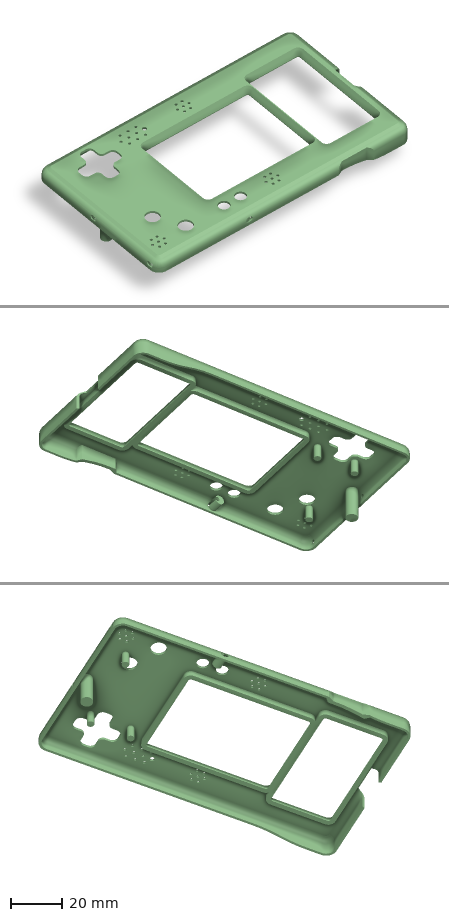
import cadquery as cq
import math

LENGTH = 129.0
WIDTH = 74.0
CORNER_RADIUS = 4.5
WALL = 1.0
PLATE = 1.0
RIM_Z = -6.2
BACK_RIM_Z = -9.0
CAVITY_EDGE_RADIUS = 2.2

ARC_START_Z = -3.6
BEVEL_INSET = 2.2
BEVEL_WIDTH = 1.3
BEVEL_DROP = 0.8

STEP_FRONT_Y = 30.2
STEP_BACK_Y = 53.4

WINDOWS = [(51.5, 28.9, 44.5), (42.5, 56.0, 1.7)]
WINDOW_RADIUS = 2.6
WINDOW_INSET = 1.5
WINDOW_TAPER_DEPTH = 3.2
WINDOW_LIP = 0.4
COLLAR_WALL = 0.5

PAD_X = -22.6
PAD_Y = -44.6
PAD_SPAN = 19.4
PAD_ARM = 6.5
PAD_TIP_RADIUS = 2.3
PAD_INNER_RADIUS = 2.0
ACTION_DIAMETER = 6.5
ACTION_CENTRES = [(26.6, -41.5), (14.5, -48.4)]
MENU_DIAMETER = 5.0
MENU_CENTRES = [(27.1, -14.2), (27.1, -22.6)]

SOUND_DIAMETER = 1.2
SOUND_RING_RADIUS = 3.0
SOUND_RING_COUNT = 6
SOUND_CENTRES = [(-27.3, 1.7), (27.1, 1.7), (27.1, -55.9)]
GRILLE_X = -27.0
GRILLE_Y = -24.3
GRILLE_PITCH_X = 3.0
GRILLE_PITCH_Y = 4.0
LIGHT_DIAMETER = 2.0
LIGHT_CENTRE = (-27.0, -18.3)

BACK_NOTCH_WIDE = 15.0
BACK_NOTCH_NARROW = 11.9
BACK_NOTCH_DEPTH = 3.6
SIDE_NOTCH_Y = 36.2
SIDE_NOTCH_WIDE = 17.8
SIDE_NOTCH_NARROW = 12.6
SIDE_NOTCH_DEPTH = 1.3
SIDE_BACKING = 1.5

WALL_HOLE_Z = -3.5
RECESS_DIAMETER = 2.2
RECESS_DEPTH = 0.5
WALL_HOLE_DIAMETER = 1.9
WALL_HOLE_SHIFT = 1.2
FRONT_HOLES_X = [-3.0, 31.7]
SIDE_HOLE_Y = -18.3
SIDE_BOSS_DIAMETER = 4.0
SIDE_BOSS_REACH = 6.2

POST_DIAMETER = 5.0
POST_Y = -59.9
POST_BOTTOM_Z = -14.5
POST_EMBED = 0.1
PIN_DIAMETER = 3.0
PIN_BOTTOM_Z = -7.0
PIN_CENTRES = [(-16.0, -33.0), (-16.0, -50.5), (18.2, -51.9)]


def rounded_slab(length_x, length_y, radius, z_top, depth, taper=0.0, centre_y=0.0):
    """Rounded rectangle extruded downward from z_top, shrinking with depth by the taper angle."""
    outline = cq.Sketch().rect(length_x, length_y).vertices().fillet(radius)
    slab = cq.Workplane("XY").placeSketch(outline).extrude(depth, taper=taper)
    return slab.mirror("XY").translate((0, centre_y, z_top))


def trapezoid(wide, narrow, depth):
    """Full-height cutter with its wide end on the X axis, narrowing toward -Y."""
    points = [(-wide / 2, 0), (wide / 2, 0), (narrow / 2, -depth), (-narrow / 2, -depth)]
    return cq.Workplane("XY").polyline(points).close().extrude(BACK_RIM_Z)


def vertical_rods(centres, diameter, z_bottom, z_top=0.0):
    """Round rods, used as posts or as hole cutters."""
    plane = cq.Workplane("XY").workplane(offset=z_bottom)
    return plane.pushPoints(centres).circle(diameter / 2).extrude(z_top - z_bottom)


def outer_body():
    arc_rise = -ARC_START_Z - BEVEL_DROP
    arc_radius = (BEVEL_INSET**2 + arc_rise**2) / (2 * BEVEL_INSET)
    arc_top = ARC_START_Z + arc_radius
    body = rounded_slab(WIDTH, LENGTH, CORNER_RADIUS, arc_top, arc_top - BACK_RIM_Z)
    body = body.faces(">Z").edges().fillet(arc_radius)
    bevel_angle = math.degrees(math.atan2(BEVEL_WIDTH, BEVEL_DROP))
    bevel_outline = cq.Sketch().rect(WIDTH - 2 * BEVEL_INSET, LENGTH - 2 * BEVEL_INSET)
    bevel_outline = bevel_outline.vertices().fillet(CORNER_RADIUS - BEVEL_INSET)
    bevel_base = cq.Workplane("XY").workplane(offset=-BEVEL_DROP).placeSketch(bevel_outline)
    return body.union(bevel_base.extrude(BEVEL_DROP, taper=bevel_angle))


def cavity():
    inner_radius = CORNER_RADIUS - WALL
    space = rounded_slab(WIDTH - 2 * WALL, LENGTH - 2 * WALL, inner_radius, -PLATE, -BACK_RIM_Z - PLATE)
    return space.faces(">Z").edges().fillet(CAVITY_EDGE_RADIUS)


def rim_cutter():
    """Everything below the rim line, including the S-curve made of two equal arcs."""
    run = (STEP_BACK_Y - STEP_FRONT_Y) / 2
    drop = (RIM_Z - BACK_RIM_Z) / 2
    radius = (run**2 + drop**2) / (2 * drop)
    half_angle = math.atan2(drop, run)
    arc_dy = radius * math.sin(half_angle)
    arc_dz = radius * (1 - math.cos(half_angle))
    middle = (STEP_FRONT_Y + run, RIM_Z - drop)
    return (
        cq.Workplane("YZ")
        .moveTo(-LENGTH, RIM_Z)
        .lineTo(STEP_FRONT_Y, RIM_Z)
        .threePointArc((STEP_FRONT_Y + arc_dy, RIM_Z - arc_dz), middle)
        .threePointArc((STEP_BACK_Y - arc_dy, BACK_RIM_Z + arc_dz), (STEP_BACK_Y, BACK_RIM_Z))
        .lineTo(-LENGTH, BACK_RIM_Z)
        .close()
        .extrude(WIDTH, both=True)
    )


def window_collar(length_x, length_y, centre_y):
    grow = 2 * COLLAR_WALL
    depth = WINDOW_TAPER_DEPTH + WINDOW_LIP - PLATE
    radius = WINDOW_RADIUS + COLLAR_WALL
    return rounded_slab(length_x + grow, length_y + grow, radius, -PLATE, depth, centre_y=centre_y)


def window_opening(length_x, length_y, centre_y):
    angle = math.degrees(math.atan2(WINDOW_INSET, WINDOW_TAPER_DEPTH))
    shrink = 2 * WINDOW_INSET
    radius = WINDOW_RADIUS - WINDOW_INSET
    funnel = rounded_slab(length_x, length_y, WINDOW_RADIUS, 0, WINDOW_TAPER_DEPTH, angle, centre_y)
    throat = rounded_slab(length_x - shrink, length_y - shrink, radius, 0, -RIM_Z, centre_y=centre_y)
    return funnel.union(throat)


def direction_pad():
    bar = cq.Workplane("XY").rect(PAD_SPAN, PAD_ARM).extrude(-PLATE)
    cross = bar.union(cq.Workplane("XY").rect(PAD_ARM, PAD_SPAN).extrude(-PLATE))
    near_middle = cq.selectors.BoxSelector((-PAD_ARM, -PAD_ARM, -PLATE), (PAD_ARM, PAD_ARM, PLATE))
    cross = cross.edges("|Z").edges(near_middle).fillet(PAD_INNER_RADIUS)
    for tip in (">X", "<X", ">Y", "<Y"):
        cross = cross.faces(tip).edges("|Z").fillet(PAD_TIP_RADIUS)
    return cross.translate((PAD_X, PAD_Y, 0))


def sound_points():
    points = []
    for x, y in SOUND_CENTRES:
        points.append((x, y))
        for step in range(SOUND_RING_COUNT):
            angle = 2 * math.pi * (step + 0.5) / SOUND_RING_COUNT
            dx = SOUND_RING_RADIUS * math.cos(angle)
            dy = SOUND_RING_RADIUS * math.sin(angle)
            points.append((x + dx, y + dy))
    for column in (-1, 0, 1):
        shift = -GRILLE_PITCH_Y / 2 if column == 0 else 0
        for row in (-1, 0, 1):
            points.append((GRILLE_X + column * GRILLE_PITCH_X, GRILLE_Y + row * GRILLE_PITCH_Y + shift))
    return points


def wall_hole(reach):
    """Shallow recess with an offset through hole, entering along +Y from the origin."""
    recess = cq.Workplane("XZ").circle(RECESS_DIAMETER / 2).extrude(-RECESS_DEPTH)
    through = cq.Workplane("XZ").center(WALL_HOLE_SHIFT, 0).circle(WALL_HOLE_DIAMETER / 2).extrude(-reach)
    return recess.union(through)


outer = outer_body()
shell = outer.cut(cavity())

for window in WINDOWS:
    shell = shell.union(window_collar(*window))
side_backing = trapezoid(
    SIDE_NOTCH_WIDE + 2 * SIDE_BACKING,
    SIDE_NOTCH_NARROW + 2 * SIDE_BACKING,
    SIDE_NOTCH_DEPTH + SIDE_BACKING,
)
to_side_notch = (WIDTH / 2, SIDE_NOTCH_Y, 0)
side_backing = side_backing.rotate((0, 0, 0), (0, 0, 1), -90).translate(to_side_notch)
shell = shell.union(side_backing.intersect(outer))
side_boss = cq.Workplane("YZ").circle(SIDE_BOSS_DIAMETER / 2).extrude(-SIDE_BOSS_REACH)
side_boss = side_boss.translate((WIDTH / 2, SIDE_HOLE_Y, WALL_HOLE_Z))
shell = shell.union(side_boss.intersect(outer))

shell = shell.cut(rim_cutter())
back_notch = trapezoid(BACK_NOTCH_WIDE, BACK_NOTCH_NARROW, BACK_NOTCH_DEPTH)
shell = shell.cut(back_notch.translate((0, LENGTH / 2, 0)))
side_notch = trapezoid(SIDE_NOTCH_WIDE, SIDE_NOTCH_NARROW, SIDE_NOTCH_DEPTH)
shell = shell.cut(side_notch.rotate((0, 0, 0), (0, 0, 1), -90).translate(to_side_notch))

for window in WINDOWS:
    shell = shell.cut(window_opening(*window))
shell = shell.cut(direction_pad())
shell = shell.cut(vertical_rods(ACTION_CENTRES, ACTION_DIAMETER, -PLATE))
shell = shell.cut(vertical_rods(MENU_CENTRES, MENU_DIAMETER, -PLATE))
shell = shell.cut(vertical_rods([LIGHT_CENTRE], LIGHT_DIAMETER, -PLATE))
shell = shell.cut(vertical_rods(sound_points(), SOUND_DIAMETER, -PLATE))

for x in FRONT_HOLES_X:
    shell = shell.cut(wall_hole(2 * WALL).translate((x, -LENGTH / 2, WALL_HOLE_Z)))
side_hole = wall_hole(SIDE_BOSS_REACH).rotate((0, 0, 0), (0, 0, 1), 90)
shell = shell.cut(side_hole.translate((WIDTH / 2, SIDE_HOLE_Y, WALL_HOLE_Z)))

post_top = -PLATE + POST_EMBED
shell = shell.union(vertical_rods([(0, POST_Y)], POST_DIAMETER, POST_BOTTOM_Z, post_top))
shell = shell.union(vertical_rods(PIN_CENTRES, PIN_DIAMETER, PIN_BOTTOM_Z, post_top))

result = shell